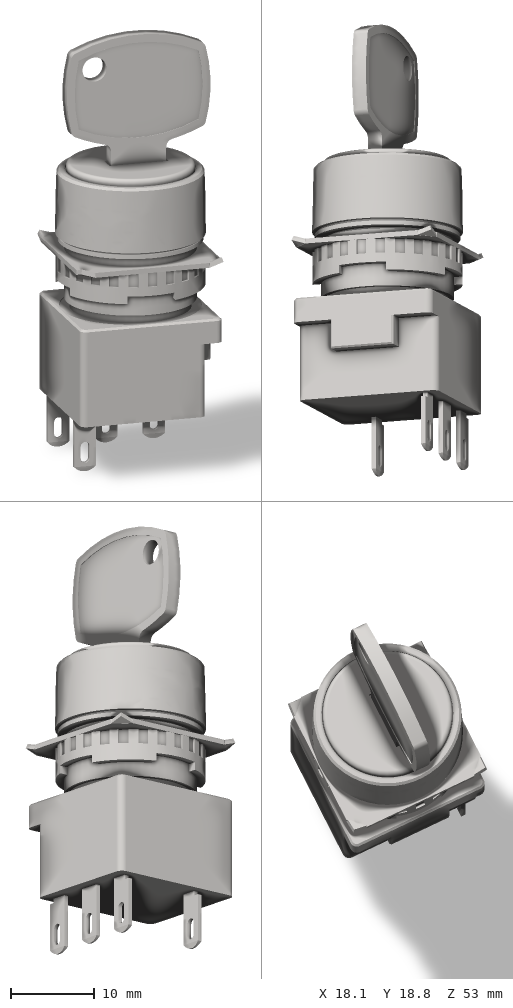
import cadquery as cq


SEAT_DEPTH = 0.1
FOOT_TOP = 0.96
NUT_BOTTOM = 2.71
NUT_NOTCH_TOP = 3.66
NUT_SLOT_BOTTOM = 4.76
PLATE_BOTTOM = 6.51
PLATE_THICKNESS = 0.6
BARREL_TOP = 7.96
FLANGE_BOTTOM = 8.26
FLANGE_TOP = 8.76
CASE_BOTTOM = 9.06
CASE_SHOULDER = 16.76
CASE_TOP = 17.06
ROTOR_TOP = 17.86

FOOT_RADIUS = 7.33
BARREL_RADIUS = 7.95
FLANGE_RADIUS = 8.75
CASE_NECK_RADIUS = 8.45
CASE_BOTTOM_RADIUS = 9.03
CASE_MIDDLE_RADIUS = 8.99
CASE_SHOULDER_RADIUS = 8.87
CASE_TOP_RADIUS = 8.58
ROTOR_RADIUS = 7.75
ROTOR_EDGE_FILLET = 0.5
ROTOR_GAP_WIDTH = 0.13
ROTOR_GAP_DEPTH = 0.3

KEY_Y = 0.75
KEY_THICKNESS = 1.8
BOW_CENTRE_Z = 26.98
BOW_RISE = 16.06
BOW_HALF_WIDTH = 9.0
BOW_HALF_HEIGHT = ROTOR_TOP + BOW_RISE - BOW_CENTRE_Z
BOW_CORNER_Y = 8.3
BOW_CORNER_Z = 5.05
BOW_CORNER_FILLET = 0.8
BOW_RIM = 1.0
SUNK_CORNER_Y = 7.5
SUNK_CORNER_Z = 4.3
BOW_SINK = 0.1
NECK_WIDTH = 6.9
NECK_FILLET = 1.0
KEY_HOLE_DIAMETER = 3.0
KEY_HOLE_OFFSET_Y = -5.5
KEY_HOLE_OFFSET_Z = 3.0
KEYWAY_DEPTH = 0.5
KEYWAY_SIDE_GAP = 0.15
KEYWAY_END_GAP = 0.25

PLATE_SIDE = 17.95
PLATE_CORNER_COUNT = 4
FLAP_LEG = 1.85
FLAP_ANGLE = 25.0
FLAP_HINGE_RISE = 0.1

NUT_RADIUS = 9.0
NUT_SLOT_COUNT = 24
NUT_SLOT_WIDTH = 1.2
NUT_SLOT_DEPTH = 0.3
NUT_NOTCH_COUNT = 4
NUT_NOTCH_WIDTH = 6.0

BLOCK_SIDE = 17.75
BLOCK_HEIGHT = 12.1
BLOCK_CORNER_RADIUS = 0.8
BLOCK_TOP_CHAMFER = 0.25
SEAT_RADIUS = 8.55
STEP_DEPTH = 2.1
STEP_TOP = -3.0
TAB_WIDTH = 8.0
TAB_HEIGHT = 3.5
TAB_CHAMFER = 0.2

TERMINAL_THICKNESS = 0.55
TERMINAL_WIDTH = 2.7
TERMINAL_LENGTH = 6.98
TERMINAL_TIP_HEIGHT = 0.65
TERMINAL_TIP_CHAMFER = 0.15
SHOULDER_WIDTH = 0.7
SHOULDER_HEIGHT = 0.55
EYE_WIDTH = 1.1
EYE_LENGTH = 2.6
EYE_ABOVE_TIP = 2.4
NEAR_ROW_X = -6.95
FAR_ROW_X = 3.85
TERMINAL_MIDDLE_Y = -0.95
TERMINAL_PITCH = 6.0
TERMINALS = [
    (NEAR_ROW_X, TERMINAL_MIDDLE_Y + TERMINAL_PITCH, 1),
    (NEAR_ROW_X, TERMINAL_MIDDLE_Y, 0),
    (NEAR_ROW_X, TERMINAL_MIDDLE_Y - TERMINAL_PITCH, -1),
    (FAR_ROW_X, TERMINAL_MIDDLE_Y - TERMINAL_PITCH, -1),
]


def box(x_size, y_size, z_bottom, z_top, x=0.0, y=0.0):
    """Upright box centred on (x, y)."""
    return (
        cq.Workplane("XY")
        .box(x_size, y_size, z_top - z_bottom, centered=(True, True, False))
        .translate((x, y, z_bottom))
    )


def disc(radius, z_bottom, z_top):
    return cq.Workplane("XY", origin=(0, 0, z_bottom)).circle(radius).extrude(z_top - z_bottom)


def bow_prism(half_width, half_height, corner_y, corner_z, thickness):
    """Plate in the YZ plane with four bulging sides, centred on the key bow."""
    return (
        cq.Workplane("YZ", origin=(-thickness / 2, KEY_Y, BOW_CENTRE_Z))
        .moveTo(-corner_y, -corner_z)
        .threePointArc((0, -half_height), (corner_y, -corner_z))
        .threePointArc((half_width, 0), (corner_y, corner_z))
        .threePointArc((0, half_height), (-corner_y, corner_z))
        .threePointArc((-half_width, 0), (-corner_y, -corner_z))
        .close()
        .extrude(thickness)
    )


def make_key():
    bow = bow_prism(BOW_HALF_WIDTH, BOW_HALF_HEIGHT, BOW_CORNER_Y, BOW_CORNER_Z, KEY_THICKNESS)
    bow = bow.edges("|X").fillet(BOW_CORNER_FILLET)
    neck = box(KEY_THICKNESS, NECK_WIDTH, ROTOR_TOP - KEYWAY_DEPTH, BOW_CENTRE_Z, y=KEY_Y)
    key = bow.union(neck)

    neck_corners = cq.selectors.BoxSelector(
        (-KEY_THICKNESS, KEY_Y - NECK_WIDTH, ROTOR_TOP),
        (KEY_THICKNESS, KEY_Y + NECK_WIDTH, BOW_CENTRE_Z - BOW_CORNER_Z),
    )
    key = key.edges("|X").edges(neck_corners).fillet(NECK_FILLET)

    sunk_outline = (BOW_HALF_WIDTH - BOW_RIM, BOW_HALF_HEIGHT - BOW_RIM, SUNK_CORNER_Y, SUNK_CORNER_Z)
    core = bow_prism(*sunk_outline, KEY_THICKNESS - 2 * BOW_SINK)
    key = key.cut(bow_prism(*sunk_outline, KEY_THICKNESS).cut(core))

    hole_y = KEY_Y + KEY_HOLE_OFFSET_Y
    hole_z = BOW_CENTRE_Z + KEY_HOLE_OFFSET_Z
    hole = (
        cq.Workplane("YZ", origin=(-KEY_THICKNESS, hole_y, hole_z))
        .circle(KEY_HOLE_DIAMETER / 2)
        .extrude(2 * KEY_THICKNESS)
    )
    return key.cut(hole)


def make_operator():
    """Turned barrel, case and rotor, with the key standing in its keyway."""
    turned = (
        cq.Workplane("XZ")
        .moveTo(0, -SEAT_DEPTH)
        .lineTo(FOOT_RADIUS, -SEAT_DEPTH)
        .lineTo(FOOT_RADIUS, FOOT_TOP)
        .lineTo(BARREL_RADIUS, FOOT_TOP)
        .lineTo(BARREL_RADIUS, BARREL_TOP)
        .lineTo(FOOT_RADIUS, BARREL_TOP)
        .lineTo(FOOT_RADIUS, FLANGE_BOTTOM)
        .lineTo(FLANGE_RADIUS, FLANGE_BOTTOM)
        .lineTo(FLANGE_RADIUS, FLANGE_TOP)
        .lineTo(CASE_NECK_RADIUS, FLANGE_TOP)
        .lineTo(CASE_NECK_RADIUS, CASE_BOTTOM)
        .lineTo(CASE_BOTTOM_RADIUS, CASE_BOTTOM)
        .threePointArc(
            (CASE_MIDDLE_RADIUS, (CASE_BOTTOM + CASE_SHOULDER) / 2),
            (CASE_SHOULDER_RADIUS, CASE_SHOULDER),
        )
        .lineTo(CASE_TOP_RADIUS, CASE_TOP)
        .lineTo(ROTOR_RADIUS + ROTOR_GAP_WIDTH, CASE_TOP)
        .lineTo(ROTOR_RADIUS + ROTOR_GAP_WIDTH, CASE_TOP - ROTOR_GAP_DEPTH)
        .lineTo(ROTOR_RADIUS, CASE_TOP - ROTOR_GAP_DEPTH)
        .lineTo(ROTOR_RADIUS, ROTOR_TOP)
        .lineTo(0, ROTOR_TOP)
        .close()
        .revolve(360, (0, 0), (0, 1))
        .faces(">Z")
        .edges()
        .fillet(ROTOR_EDGE_FILLET)
    )
    keyway = box(
        KEY_THICKNESS + 2 * KEYWAY_SIDE_GAP,
        NECK_WIDTH + 2 * KEYWAY_END_GAP,
        ROTOR_TOP - KEYWAY_DEPTH,
        ROTOR_TOP,
        y=KEY_Y,
    )
    return turned.cut(keyway).union(make_key())


def make_lock_plate():
    """Square plate with a round hole and its four corners bent up."""
    half = PLATE_SIDE / 2
    fold = half - FLAP_LEG
    top = PLATE_BOTTOM + PLATE_THICKNESS
    hinge = PLATE_BOTTOM + FLAP_HINGE_RISE

    plate = box(PLATE_SIDE, PLATE_SIDE, PLATE_BOTTOM, top)
    plate = plate.edges("|Z").chamfer(FLAP_LEG)

    flap = (
        cq.Workplane("XY", origin=(0, 0, PLATE_BOTTOM))
        .polyline([(half, fold), (half, half), (fold, half)])
        .close()
        .extrude(PLATE_THICKNESS)
        .rotate((half, fold, hinge), (fold, half, hinge), -FLAP_ANGLE)
    )
    for corner in range(PLATE_CORNER_COUNT):
        plate = plate.union(flap.rotate((0, 0, 0), (0, 0, 1), corner * 360 / PLATE_CORNER_COUNT))
    return plate.cut(disc(BARREL_RADIUS, PLATE_BOTTOM, top))


def make_nut():
    """Ring on the barrel with grip slots at the top and four notches at the bottom."""
    nut = disc(NUT_RADIUS, NUT_BOTTOM, PLATE_BOTTOM).cut(disc(BARREL_RADIUS, NUT_BOTTOM, PLATE_BOTTOM))

    slot = box(2 * NUT_SLOT_DEPTH, NUT_SLOT_WIDTH, NUT_SLOT_BOTTOM, PLATE_BOTTOM, x=NUT_RADIUS)
    for index in range(NUT_SLOT_COUNT):
        nut = nut.cut(slot.rotate((0, 0, 0), (0, 0, 1), index * 360 / NUT_SLOT_COUNT))

    notch = box(NUT_RADIUS, NUT_NOTCH_WIDTH, NUT_BOTTOM, NUT_NOTCH_TOP, x=NUT_RADIUS)
    for index in range(NUT_NOTCH_COUNT):
        nut = nut.cut(notch.rotate((0, 0, 0), (0, 0, 1), index * 360 / NUT_NOTCH_COUNT))
    return nut


def make_terminal(x, y, shoulder_side):
    """Flat solder terminal with an eye and a rounded, thinned tip."""
    half_width = TERMINAL_WIDTH / 2
    root = -BLOCK_HEIGHT
    tip = root - TERMINAL_LENGTH
    tip_start = tip + TERMINAL_TIP_HEIGHT

    terminal = (
        cq.Workplane("YZ", origin=(-TERMINAL_THICKNESS / 2, 0, 0))
        .moveTo(-half_width, root)
        .lineTo(-half_width, tip_start)
        .threePointArc((0, tip), (half_width, tip_start))
        .lineTo(half_width, root)
        .close()
        .extrude(TERMINAL_THICKNESS)
    )
    eye = (
        cq.Workplane("YZ", origin=(-TERMINAL_THICKNESS, 0, tip + EYE_ABOVE_TIP))
        .slot2D(EYE_LENGTH, EYE_WIDTH, 90)
        .extrude(2 * TERMINAL_THICKNESS)
    )
    terminal = terminal.cut(eye)

    half_thickness = TERMINAL_THICKNESS / 2
    for side in (-1, 1):
        wedge = (
            cq.Workplane("XZ", origin=(0, TERMINAL_WIDTH, 0))
            .polyline([
                (side * half_thickness, tip_start),
                (side * half_thickness, tip),
                (side * (half_thickness - TERMINAL_TIP_CHAMFER), tip),
            ])
            .close()
            .extrude(2 * TERMINAL_WIDTH)
        )
        terminal = terminal.cut(wedge)

    if shoulder_side:
        shoulder_y = shoulder_side * (half_width - SHOULDER_WIDTH / 2)
        terminal = terminal.cut(
            box(TERMINAL_THICKNESS, SHOULDER_WIDTH, root - SHOULDER_HEIGHT, root, y=shoulder_y)
        )
    return terminal.translate((x, y, 0))


def make_contact_block():
    """Block with a stepped +Y face, a tab under the step and four terminals."""
    half = BLOCK_SIDE / 2
    lower_depth = BLOCK_SIDE - STEP_DEPTH

    upper = box(BLOCK_SIDE, BLOCK_SIDE, STEP_TOP, 0).edges("|Z").fillet(BLOCK_CORNER_RADIUS)
    upper = upper.faces(">Z").edges().chamfer(BLOCK_TOP_CHAMFER)
    lower = box(BLOCK_SIDE, lower_depth, -BLOCK_HEIGHT, STEP_TOP, y=-STEP_DEPTH / 2)
    lower = lower.edges("|Z").fillet(BLOCK_CORNER_RADIUS)

    tab = box(TAB_WIDTH, STEP_DEPTH, STEP_TOP - TAB_HEIGHT, STEP_TOP, y=half - STEP_DEPTH / 2)
    tab = tab.faces(">Y").edges("not >Z").chamfer(TAB_CHAMFER)

    block = upper.union(lower).union(tab)
    block = block.cut(disc(SEAT_RADIUS, -SEAT_DEPTH, 0))
    for x, y, shoulder_side in TERMINALS:
        block = block.union(make_terminal(x, y, shoulder_side))
    return block


operator = make_operator()
lock_plate = make_lock_plate()
nut = make_nut()
contact_block = make_contact_block()

result = cq.Compound.makeCompound([
    operator.val(),
    lock_plate.val(),
    nut.val(),
    contact_block.val(),
])